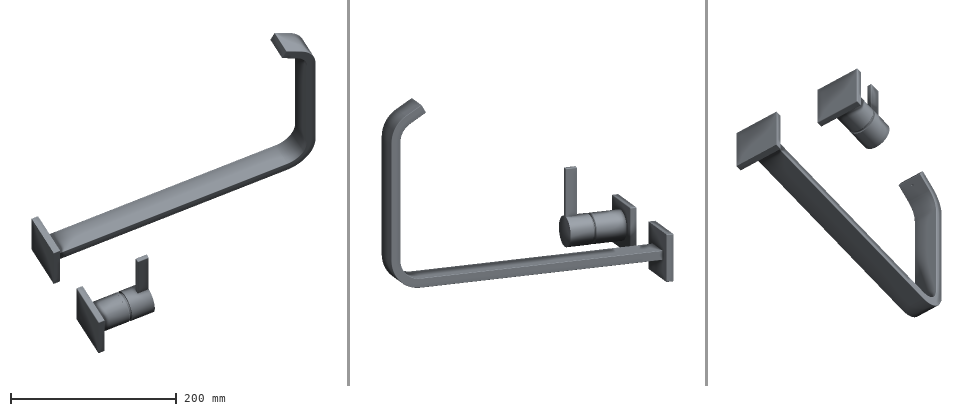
import cadquery as cq
import math

PLATE_SIDE = 60.0
PLATE_THICKNESS = 8.5
PLATE_SPACING = 120.2
HANDLE_PLATE_EDGE_ROUND = 1.0
SPOUT_PLATE_CORNER_ROUND = 0.7
AXIS_Z = PLATE_SIDE / 2
SPOUT_X = PLATE_SIDE / 2
HANDLE_X = SPOUT_X + PLATE_SPACING

SPOUT_REACH = 361.0
SPOUT_HEIGHT = 254.5
SPOUT_WIDTH = 32.0
SPOUT_THICKNESS = 12.0
SPOUT_EDGE_ROUND = 0.55
OUTER_BEND_RADIUS = 38.0
INNER_BEND_RADIUS = OUTER_BEND_RADIUS - SPOUT_THICKNESS
UPPER_BEND_Z = 210.0
UPPER_BEND_ANGLE = 60.0

TIP_HOLE_DIAMETER = 3.0
TIP_HOLE_DEPTH = 1.8
TIP_HOLE_SETBACK = 8.0

BASE_DIAMETER = 38.3
CAP_DIAMETER = 38.5
BASE_END_Y = 48.7
BASE_END_CHAMFER = 1.0
NECK_DIAMETER = 34.0
CAP_START_Y = 51.3
CAP_END_Y = 81.5

INDEX_CHORD = 16.0
INDEX_WIDTH = 1.5
INDEX_DEPTH = 0.18
INDEX_Y = 44.0

LEVER_THICKNESS = 6.0
LEVER_DEPTH = 15.5
LEVER_END_Y = 82.0
LEVER_TOP_Z = 110.0
LEVER_EDGE_ROUND = 1.0
LEVER_SEAT_DEPTH = 3.0


def cylinder_along_y(diameter, start_y, end_y):
    """Cylinder on the handle axis between two Y positions."""
    return (
        cq.Workplane("XZ", origin=(HANDLE_X, start_y, AXIS_Z))
        .circle(diameter / 2)
        .extrude(start_y - end_y)
    )


def make_plate(center_x):
    """Square wall plate with sharp edges."""
    plate = cq.Workplane("XY").box(PLATE_SIDE, PLATE_THICKNESS, PLATE_SIDE)
    return plate.translate((center_x, PLATE_THICKNESS / 2, AXIS_Z))


def make_spout():
    """Bent flat bar, rounded on every edge except those on the wall plate."""
    bottom_z = AXIS_Z - SPOUT_THICKNESS / 2
    top_z = bottom_z + SPOUT_THICKNESS
    bend_y = SPOUT_REACH - OUTER_BEND_RADIUS
    lower_bend_z = bottom_z + OUTER_BEND_RADIUS
    inner_y = SPOUT_REACH - SPOUT_THICKNESS
    half_turn = math.radians(UPPER_BEND_ANGLE / 2)
    turn = math.radians(UPPER_BEND_ANGLE)

    def lower_bend(radius):
        reach = radius * math.sqrt(0.5)
        return bend_y + reach, lower_bend_z - reach

    def upper_bend(radius, angle):
        return bend_y + radius * math.cos(angle), UPPER_BEND_Z + radius * math.sin(angle)

    corner_loss = SPOUT_EDGE_ROUND * (math.sin(turn) + math.cos(turn) - 1)
    corner_z = SPOUT_HEIGHT + corner_loss
    outer_turn_end = upper_bend(OUTER_BEND_RADIUS, turn)
    inner_turn_end = upper_bend(INNER_BEND_RADIUS, turn)
    tip_length = (corner_z - outer_turn_end[1]) / math.cos(turn)
    tip_dy = -tip_length * math.sin(turn)
    tip_dz = tip_length * math.cos(turn)
    outer_tip = (outer_turn_end[0] + tip_dy, outer_turn_end[1] + tip_dz)
    inner_tip = (inner_turn_end[0] + tip_dy, inner_turn_end[1] + tip_dz)

    bar = (
        cq.Workplane("YZ", origin=(SPOUT_X - SPOUT_WIDTH / 2, 0, 0))
        .moveTo(PLATE_THICKNESS, bottom_z)
        .lineTo(bend_y, bottom_z)
        .threePointArc(lower_bend(OUTER_BEND_RADIUS), (SPOUT_REACH, lower_bend_z))
        .lineTo(SPOUT_REACH, UPPER_BEND_Z)
        .threePointArc(upper_bend(OUTER_BEND_RADIUS, half_turn), outer_turn_end)
        .lineTo(*outer_tip)
        .lineTo(*inner_tip)
        .lineTo(*inner_turn_end)
        .threePointArc(upper_bend(INNER_BEND_RADIUS, half_turn), (inner_y, UPPER_BEND_Z))
        .lineTo(inner_y, lower_bend_z)
        .threePointArc(lower_bend(INNER_BEND_RADIUS), (bend_y, top_z))
        .lineTo(PLATE_THICKNESS, top_z)
        .close()
        .extrude(SPOUT_WIDTH)
        .edges("not(<Y)")
        .fillet(SPOUT_EDGE_ROUND)
    )

    hole_center = cq.Vector(
        SPOUT_X,
        inner_tip[0] + TIP_HOLE_SETBACK * math.sin(turn),
        inner_tip[1] - TIP_HOLE_SETBACK * math.cos(turn),
    )
    into_tip = cq.Vector(0, math.cos(turn), math.sin(turn))
    hole = cq.Solid.makeCylinder(TIP_HOLE_DIAMETER / 2, TIP_HOLE_DEPTH, hole_center, into_tip)
    return bar.cut(cq.Workplane(hole))


def make_index_mark():
    """Thin arc-shaped strip just below the top surface of the base."""
    start_y = INDEX_Y - INDEX_WIDTH / 2
    end_y = INDEX_Y + INDEX_WIDTH / 2
    ring = cylinder_along_y(BASE_DIAMETER, start_y, end_y).cut(
        cylinder_along_y(BASE_DIAMETER - 2 * INDEX_DEPTH, start_y, end_y)
    )
    window = cq.Workplane("XY").box(INDEX_CHORD, INDEX_WIDTH, BASE_DIAMETER).translate(
        (HANDLE_X, INDEX_Y, AXIS_Z + BASE_DIAMETER / 2)
    )
    return ring.intersect(window)


def make_base():
    base = cylinder_along_y(BASE_DIAMETER, PLATE_THICKNESS, BASE_END_Y)
    base = base.faces(">Y").edges().chamfer(BASE_END_CHAMFER)
    neck = cylinder_along_y(NECK_DIAMETER, BASE_END_Y, CAP_START_Y)
    return base.union(neck).cut(make_index_mark())


def make_lever():
    """Upright blade whose foot sits in a notch in the top of the cap."""
    foot_z = AXIS_Z + CAP_DIAMETER / 2 - LEVER_SEAT_DEPTH
    height = LEVER_TOP_Z - foot_z
    blade = cq.Workplane("XY").box(LEVER_THICKNESS, LEVER_DEPTH, height)
    blade = blade.edges("|Z or >Z").fillet(LEVER_EDGE_ROUND)
    return blade.translate((HANDLE_X, LEVER_END_Y - LEVER_DEPTH / 2, foot_z + height / 2))


spout_plate = make_plate(SPOUT_X).edges("|Y").fillet(SPOUT_PLATE_CORNER_ROUND)
spout = make_spout()
handle_plate = make_plate(HANDLE_X).edges().fillet(HANDLE_PLATE_EDGE_ROUND)
base = make_base()
lever = make_lever()
cap = cylinder_along_y(CAP_DIAMETER, CAP_START_Y, CAP_END_Y).cut(lever)

bodies = [spout_plate, spout, handle_plate, base, cap, lever]
result = cq.Compound.makeCompound([body.val() for body in bodies])